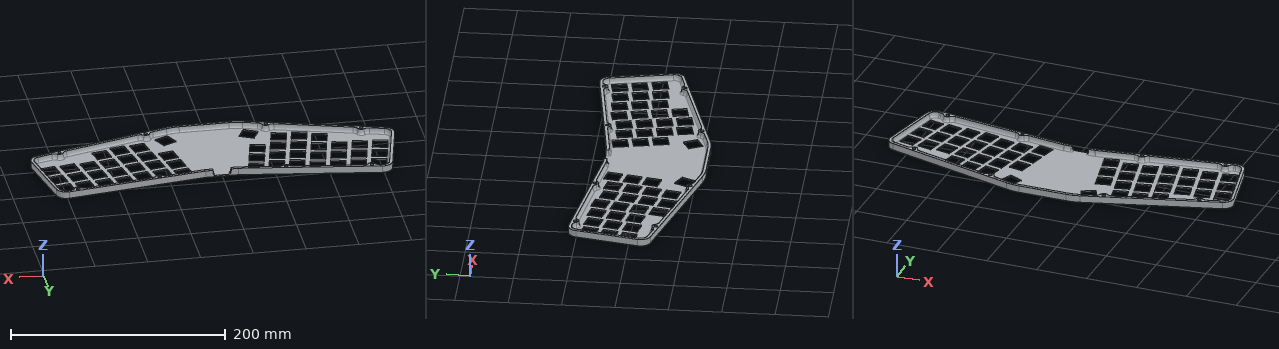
import cadquery as cq

height = 7.0
floor_thickness = 1.5
half_depth = 58.2

back_notch = (-15.5, 39.0)
back_corner = (-157.5, 59.5)
front_corner = (-174.0, -17.5)
front_bend = (-30.3, -half_depth)
corner_radius = 10.0
front_bend_radius = 48.2

rim_width = 3.0
cove_width = 1.7
cove_overlap = 0.5
wall_foot = rim_width + cove_width
wall_height = height - floor_thickness

cable_gap = 13.8
gap_corner_radius = 2.0
gap_outside = 3.5

screw_points = [(-139.0, 53.0), (-60.0, 42.5), (-143.0, -22.7), (-56.8, -46.8)]
screw_hole_diameter = 3.0
boss_rim_radius = 3.5
boss_foot_radius = boss_rim_radius + cove_width
boss_blend_radius = 4.0
boss_reach = 8.5

key_size = 14.0
key_tilt = -12.0
outer_column_x = -153.2
inner_column_x = -39.3
column_tops = [7.5, 9.3, 12.0, 14.5, 12.0, 14.0, 20.0]
key_pitch = (inner_column_x - outer_column_x) / (len(column_tops) - 1)
short_column_keys = 3
long_columns = (3, 4, 5)
thumb_key = (-39.3, -40.0)
thumb_key_tilt = -26.0


def mirrored(points):
    """The points followed by their images across the YZ plane, in outline order."""
    return points + [(-x, y) for x, y in reversed(points)]


def near(points, reach):
    """Selector for edges centred within reach of one of the points in plan."""
    boxes = [
        cq.selectors.BoxSelector((x - reach, y - reach, -height), (x + reach, y + reach, 2 * height))
        for x, y in points
    ]
    selector = boxes[0]
    for box in boxes[1:]:
        selector = selector + box
    return selector


def outer_block():
    """Solid block with the rounded outer outline."""
    outline = mirrored([back_notch, back_corner, front_corner, front_bend])
    block = cq.Workplane("XY").polyline(outline).close().extrude(height)
    corners = near(mirrored([back_corner, front_corner]), corner_radius)
    block = block.edges("|Z").edges(corners).fillet(corner_radius)
    bends = near(mirrored([front_bend]), corner_radius)
    return block.edges("|Z").edges(bends).fillet(front_bend_radius)


def screw_posts(radius):
    """Cylinders on the screw points, from the floor up to the rim."""
    posts = cq.Workplane("XY").workplane(offset=floor_thickness)
    return posts.pushPoints(mirrored(screw_points)).circle(radius).extrude(wall_height)


def cable_opening():
    """Box through the middle of the back wall, reaching clear of the outline."""
    length = 2 * (wall_foot + gap_outside)
    opening = cq.Workplane("XY").box(cable_gap, length, wall_height, centered=(True, True, False))
    return opening.translate((0, back_notch[1], floor_thickness))


def cavity_core(block):
    """Upright part of the cavity, with the outline that the cavity has at the floor."""
    floor_outline = block.faces("<Z").wires().val().offset2D(-wall_foot)[0]
    core = cq.Workplane("XY").add(floor_outline).toPending().extrude(wall_height)
    core = core.translate((0, 0, floor_thickness)).union(cable_opening())
    gap_corners = near(mirrored([(-cable_gap / 2, back_notch[1] - wall_foot)]), gap_corner_radius)
    core = core.edges("|Z").edges(gap_corners).fillet(gap_corner_radius)
    core = core.cut(screw_posts(boss_foot_radius))
    return core.edges("|Z").edges(near(mirrored(screw_points), boss_reach)).fillet(boss_blend_radius)


def cavity(block):
    """Space inside the wall, widened from the floor to the rim by the elliptical cove."""
    core = cavity_core(block)
    path = cq.Workplane("XY").add(core.faces("<Z").wires().val()).toPending()
    cove = (
        cq.Workplane("YZ", origin=(0, wall_foot - half_depth, floor_thickness))
        .moveTo(cove_overlap, 0)
        .lineTo(0, 0)
        .ellipseArc(cove_width, wall_height, 180, 270, startAtCurrent=True, sense=-1)
        .lineTo(cove_overlap, wall_height)
        .close()
        .sweep(path)
    )
    return core.union(cove)


def key_cutters():
    """Square cutters for the key grid and the thumb key of the left half."""
    grid_points = []
    for column, top in enumerate(column_tops):
        x = outer_column_x + column * key_pitch
        key_count = short_column_keys + (column in long_columns)
        grid_points += [(x, top - row * key_pitch) for row in range(key_count)]
    grid = cq.Workplane("XY").pushPoints(grid_points).rect(key_size, key_size).extrude(height)
    grid = grid.rotate((0, 0, 0), (0, 0, 1), key_tilt)
    thumb = cq.Workplane("XY").rect(key_size, key_size).extrude(height)
    thumb = thumb.rotate((0, 0, 0), (0, 0, 1), thumb_key_tilt).translate(thumb_key)
    return grid.union(thumb)


outer = outer_block()
left_keys = key_cutters()
result = (
    outer.cut(cavity(outer))
    .cut(left_keys)
    .cut(left_keys.mirror("YZ"))
    .cut(screw_posts(screw_hole_diameter / 2))
)